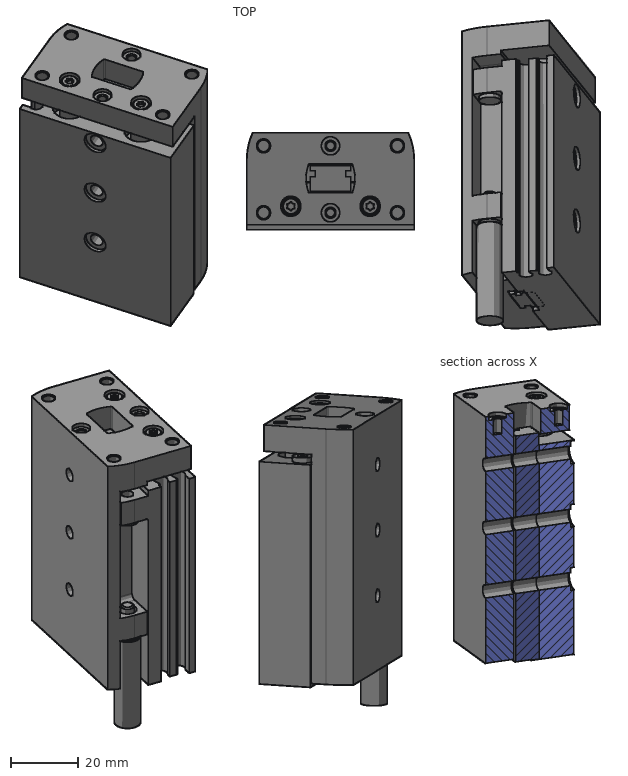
import cadquery as cq


width = 50.0
depth = 29.0
height = 92.4

housing_bottom = 13.4
housing_top = 81.1
housing_rear = 16.1
mount_hole_diameter = 4.0
mount_bore_diameter = 7.0
mount_bore_depth = 1.1
mount_hole_top = 77.25
mount_hole_pitch = 20.0
mount_hole_count = 3
channel_half_width = 8.3
channel_floor = 14.0

slot_neck = 3.1
slot_diameter = 4.0
slot_depth = 3.7
slot_ledge = 0.5
slot_ledge_depth = 1.4
slot_places = (3.7, 9.7)
rib_recess = 1.1
slots_rear = slot_places[1] + slot_neck / 2 + slot_ledge

stop_bottom = 71.3
stop_top = 79.3
stop_rear = 25.1
stop_side_gap = 0.4
stop_corner = 0.6
stop_pad_diameter = 6.6
stop_pad_height = 1.2
stop_hole_diameter = 3.5
stop_hole_depth = 4.6

plug_x = 20.1
plug_y = 12.1
plug_flange_diameter = 6.1
plug_flange_height = 1.6
plug_tip_diameter = 3.0
plug_tip_height = 0.6

table_bottom = 14.6
table_front = 16.45
plate_front = 1.5
plate_bottom = 84.4
panel_face = 25.4
curve_start = 20.9
back_half_width = 23.2
pocket_wall = -15.6
pocket_top = 83.2
pocket_fillet = 1.6
holder_bottom = 31.1
holder_top = 39.1

window_front = 11.0
window_rear = 19.7
window_half_width = 7.3
window_corner_half_width = 6.5
window_corner_fillet = 0.5

carriage_half_width = 8.0
carriage_front = 14.3
carriage_top = 78.5

corner_hole_x = 20.0
hole_front_y = 5.1
hole_rear_y = 25.0
corner_hole_diameter = 3.5
corner_hole_mouth = 4.2
corner_hole_depth = 7.0
centre_bore_diameter = 5.45
centre_bore_depth = 1.2
centre_hole_mouth = 3.2
centre_hole_diameter = 2.5
centre_hole_depth = 6.0

rail_half_width = 6.1
rail_front = 11.55
rail_rear = 19.2
rail_bottom = 13.7
rail_top = 85.0
raceway_depth = 1.5
raceway_front = 15.8
raceway_rear = 17.6

rod_x = 11.8
rod_y = 7.0
rod_diameter = 6.0
rod_bottom = 37.0
rod_bore_diameter = 10.0
rod_bore_depth = 4.25
head_diameter = 5.0
head_recess_diameter = 6.0
head_recess_depth = 1.85
head_sink = 0.6
head_chamfer = 0.23
socket_diameter = 2.0
socket_lobe_diameter = 0.6
socket_lobes = 6
socket_depth = 0.9

absorber_x = -21.0
absorber_y = 21.0
absorber_diameter = 8.0
absorber_shoulder = 30.3
absorber_chamfer = 0.3
absorber_neck_diameter = 7.0
absorber_neck_top = 35.1
plunger_diameter = 4.0
plunger_hole_diameter = 5.45
plunger_top = 40.75
plunger_chamfer = 0.5


def box(x0, x1, y0, y1, z0, z1):
    return cq.Workplane("XY").box(x1 - x0, y1 - y0, z1 - z0, centered=False).translate((x0, y0, z0))


def cylinder(x, y, diameter, z0, z1):
    return cq.Workplane("XY", origin=(x, y, z0)).circle(diameter / 2).extrude(z1 - z0)


def cone(x, y, bottom_diameter, top_diameter, z0, z1):
    return (
        cq.Workplane("XY", origin=(x, y, z0))
        .circle(bottom_diameter / 2)
        .workplane(offset=z1 - z0)
        .circle(top_diameter / 2)
        .loft()
    )


def mirrored(shape):
    return shape.union(shape.mirror("YZ"))


def mount_cylinders(diameter, length):
    """Row of cylinders along Y on the centre plane, starting at the mounting face."""
    places = [(0, mount_hole_top - i * mount_hole_pitch) for i in range(mount_hole_count)]
    return cq.Workplane("XZ").pushPoints(places).circle(diameter / 2).extrude(-length)


def table_outline(z0, z1):
    """Table seen from above: flat sides that curve in tangentially towards the back."""
    right_half = (
        cq.Workplane("XY", origin=(0, 0, z0))
        .moveTo(0, plate_front)
        .lineTo(width / 2, plate_front)
        .lineTo(width / 2, curve_start)
        .tangentArcPoint((back_half_width, depth), relative=False)
        .lineTo(0, depth)
        .close()
        .extrude(z1 - z0)
    )
    return mirrored(right_half)


def side_slots():
    """Two undercut sensor slots in the left side, with the recessed rib between them."""
    side = -width / 2
    cutter = box(side, side + rib_recess, slot_places[0], slots_rear, housing_bottom, housing_top)
    for y in slot_places:
        front = y - slot_neck / 2
        rear = y + slot_neck / 2
        cutter = cutter.union(box(side, side + slot_depth, front, rear, housing_bottom, housing_top))
        cutter = cutter.union(
            box(side, side + slot_ledge_depth, y, rear + slot_ledge, housing_bottom, housing_top)
        )
        cutter = cutter.union(cylinder(side + slot_depth, y, slot_diameter, housing_bottom, housing_top))
    return cutter


def rail_outline(z0, z1):
    """Rail bar with a square raceway groove in each side."""
    rail = box(-rail_half_width, rail_half_width, rail_front, rail_rear, z0, z1)
    raceway = box(
        -rail_half_width, -rail_half_width + raceway_depth, raceway_front, raceway_rear, z0, z1
    )
    return rail.cut(mirrored(raceway))


def stop_block():
    """Block behind the left side of the housing, with the pad that the shock absorber hits."""
    block = (
        cq.Workplane("YZ", origin=(-width / 2, 0, 0))
        .polyline(
            [
                (housing_rear, stop_bottom - stop_corner),
                (housing_rear + stop_corner, stop_bottom),
                (stop_rear, stop_bottom),
                (stop_rear, stop_top),
                (housing_rear, stop_top),
            ]
        )
        .close()
        .extrude(pocket_wall - stop_side_gap + width / 2)
        .intersect(table_outline(housing_bottom, housing_top))
    )
    pad = cylinder(absorber_x, absorber_y, stop_pad_diameter, stop_bottom - stop_pad_height, stop_bottom)
    hole = cylinder(absorber_x, absorber_y, stop_hole_diameter, stop_top - stop_hole_depth, stop_top)
    return block.union(pad).cut(hole)


def plug():
    """Round flange with a smaller tip."""
    flange_top = housing_top + plug_flange_height
    flange = cylinder(plug_x, plug_y, plug_flange_diameter, housing_top, flange_top)
    tip = cylinder(plug_x, plug_y, plug_tip_diameter, flange_top, flange_top + plug_tip_height)
    return flange.union(tip)


def make_housing():
    """Slotted block with a rail seat, rod bores, a stop block and a plug."""
    body = box(-width / 2, width / 2, 0, housing_rear, housing_bottom, housing_top)
    half = channel_half_width
    body = body.cut(box(-half, half, channel_floor, housing_rear, housing_bottom, housing_top))
    body = body.cut(
        box(-rail_half_width, rail_half_width, rail_front, channel_floor, rail_bottom, housing_top)
    )
    body = body.cut(side_slots())
    body = body.cut(mount_cylinders(mount_hole_diameter, depth))
    body = body.cut(mount_cylinders(mount_bore_diameter, mount_bore_depth))
    for x in (-rod_x, rod_x):
        body = body.cut(cylinder(x, rod_y, rod_diameter, rod_bottom, housing_top))
        body = body.cut(cylinder(x, rod_y, rod_bore_diameter, housing_top - rod_bore_depth, housing_top))
    return body.union(stop_block()).union(plug())


def window():
    """Opening with bowed sides, running down the full height of the table."""
    middle = (window_front + window_rear) / 2
    return (
        cq.Workplane("XY", origin=(0, 0, table_bottom))
        .moveTo(-window_corner_half_width, window_front)
        .lineTo(window_corner_half_width, window_front)
        .threePointArc((window_half_width, middle), (window_corner_half_width, window_rear))
        .lineTo(-window_corner_half_width, window_rear)
        .threePointArc((-window_half_width, middle), (-window_corner_half_width, window_front))
        .close()
        .extrude(height - table_bottom)
        .edges("|Z")
        .fillet(window_corner_fillet)
    )


def carriage():
    """Block that grips the raceways of the rail, with a gap behind the rail."""
    half = carriage_half_width
    block = box(-half, half, carriage_front, window_rear, table_bottom, carriage_top)
    gap = box(
        -rail_half_width, rail_half_width, rail_rear, window_rear, table_bottom, carriage_top
    )
    return block.cut(gap).cut(rail_outline(table_bottom, carriage_top))


def side_pockets():
    """Pockets above and below the absorber holder, both open to the left and front."""
    side = -width / 2
    upper = box(side, pocket_wall, table_front, panel_face, holder_top, pocket_top)
    upper = upper.edges("|Y and >X").fillet(pocket_fillet)
    lower = box(side, pocket_wall, table_front, panel_face, table_bottom, holder_bottom)
    return upper.union(lower)


def corner_hole(x, y):
    """Blind hole with a countersunk mouth."""
    mouth_depth = (corner_hole_mouth - corner_hole_diameter) / 2
    hole = cylinder(x, y, corner_hole_diameter, height - corner_hole_depth, height)
    return hole.union(cone(x, y, corner_hole_diameter, corner_hole_mouth, height - mouth_depth, height))


def centre_hole(y):
    """Counterbored hole with a countersunk mouth."""
    floor = height - centre_bore_depth
    mouth_depth = (centre_hole_mouth - centre_hole_diameter) / 2
    bore = cylinder(0, y, centre_bore_diameter, floor, height)
    mouth = cone(0, y, centre_hole_diameter, centre_hole_mouth, floor - mouth_depth, floor)
    hole = cylinder(0, y, centre_hole_diameter, height - centre_hole_depth, floor)
    return bore.union(mouth).union(hole)


def make_table():
    """L-shaped slide table: top plate, back panel and carriage, with a holder for the shock absorber."""
    table = table_outline(table_bottom, height)
    table = table.cut(box(-width / 2, width / 2, plate_front, table_front, table_bottom, plate_bottom))
    table = table.cut(side_pockets()).cut(window()).union(carriage())
    table = table.cut(mount_cylinders(mount_hole_diameter, depth))
    for y in (hole_front_y, hole_rear_y):
        table = table.cut(centre_hole(y))
        for x in (-corner_hole_x, corner_hole_x):
            table = table.cut(corner_hole(x, y))
    for x in (-rod_x, rod_x):
        table = table.cut(cylinder(x, rod_y, head_diameter, plate_bottom, height))
        table = table.cut(cylinder(x, rod_y, head_recess_diameter, height - head_recess_depth, height))
    table = table.cut(
        cylinder(absorber_x, absorber_y, absorber_neck_diameter, holder_bottom, absorber_neck_top)
    )
    return table.cut(cylinder(absorber_x, absorber_y, plunger_hole_diameter, holder_bottom, holder_top))


def make_rail():
    """Guide rail screwed to the housing through the mounting holes."""
    return rail_outline(rail_bottom, rail_top).cut(mount_cylinders(mount_hole_diameter, depth))


def make_rod(x):
    """Piston rod whose screwed end passes through the top plate and carries a six-lobe socket."""
    head_top = height - head_sink
    rod = cylinder(x, rod_y, rod_diameter, rod_bottom, plate_bottom)
    head = cylinder(x, rod_y, head_diameter, plate_bottom, head_top).faces(">Z").chamfer(head_chamfer)
    socket_floor = head_top - socket_depth
    socket = cylinder(x, rod_y, socket_diameter, socket_floor, head_top)
    lobes = (
        cq.Workplane("XY", origin=(x, rod_y, socket_floor))
        .polarArray(socket_diameter / 2, 90, 360, socket_lobes)
        .circle(socket_lobe_diameter / 2)
        .extrude(socket_depth)
    )
    return rod.union(head).cut(socket).cut(lobes)


def make_shock_absorber():
    """Cylindrical body held in the table, with its plunger pointing up at the stop block."""
    body = cylinder(absorber_x, absorber_y, absorber_diameter, 0, absorber_shoulder)
    body = body.faces(">Z").chamfer(absorber_chamfer)
    neck = cylinder(absorber_x, absorber_y, absorber_neck_diameter, absorber_shoulder, absorber_neck_top)
    plunger = cylinder(absorber_x, absorber_y, plunger_diameter, absorber_neck_top, plunger_top)
    plunger = plunger.faces(">Z").chamfer(plunger_chamfer)
    return body.union(neck).union(plunger)


housing = make_housing()
table = make_table()
rail = make_rail()
rods = [make_rod(x) for x in (-rod_x, rod_x)]
shock_absorber = make_shock_absorber()

result = cq.Compound.makeCompound(
    [housing.val(), table.val(), rail.val(), *[rod.val() for rod in rods], shock_absorber.val()]
)